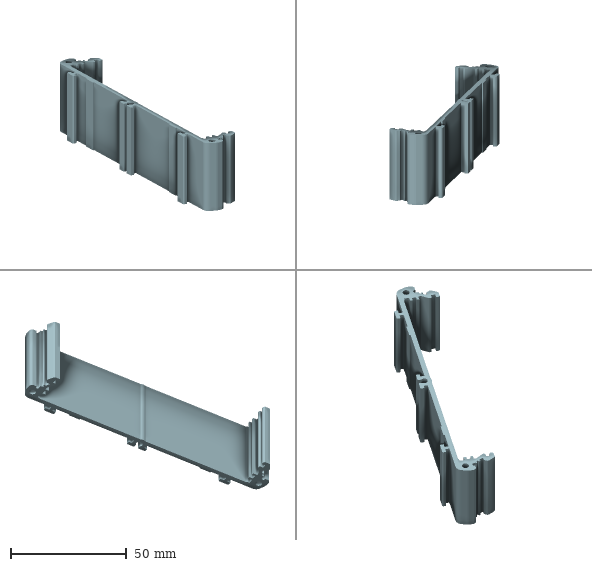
import cadquery as cq
import math

LENGTH = 31.25
WIDTH = 122.6
HALF_WIDTH = WIDTH / 2
INNER_HEIGHT = 18.0
RAIL_DEPTH = 3.5
WALL = 2.2

CORNER_RADIUS = 3.0
CORNER_START = 3.9
CORNER_LEAN = math.radians(20)
SIDE_FOOT = 5.2
LEAN_TOP_INSET = 0.12
LEAN_TOP_Y = 4.4
LOBE_TOP = 8.5
LOBE_BEVEL_WIDTH = 0.8
LOBE_BEVEL_HEIGHT = 1.25
LOBE_WIDTH = 2.75
NOTCH_CORNER_Y = 7.95
NOTCH_BOTTOM_INSET = 3.5
NOTCH_BOTTOM_Y = 7.4
NOTCH_END = 4.25
COLUMN_SHOULDER_Y = 8.7
COLUMN_SHOULDER_END = 5.45
COLUMN_FACE = 7.15
COLUMN_TOP = 10.1
SCREW_DIAMETER = 3.0
SCREW_X = 3.45
SCREW_Y = 4.3
STEP_WIDTH = 1.3
STEP_HEIGHT = 0.35

RIB_TIP = 9.05
RIB_THICKNESS = 1.1
SLOT_WIDTH = 1.85
SLOT_FLOOR = 7.5
RIB_BOTTOM = 4.8
RIB_LEAD = 0.4
HOOK_SLOT_BOTTOM = 14.4
HOOK_TIP = 9.35
HOOK_CHAMFER = 0.4

ARM_FOOT_Y = 9.6
ARM_FOOT_INSET = 5.25
ARM_TOP_INSET = 6.8
ARM_TOP_Y = 12.6
ARM_INNER_TOP_Y = 13.25
THROAT_INSET = 6.6
HEAD_UNDERSIDE_Y = 12.9
HEAD_CORNER_INSET = 5.3
CHEEK_BOTTOM = (4.8, 13.9)
CHEEK_MIDDLE = (4.45, 14.5)
CHEEK_TOP = (4.6, 15.1)
HEAD_SHOULDER = (5.8, 17.3)
HEAD_TOP_INSET = 6.4

LOWER_TOOTH = [(4.6, 8.8), (4.2, 9.2), (4.2, 9.6), (5.8, 9.6), (5.8, 8.8)]
UPPER_TOOTH = [(5.4, 10.4), (4.85, 10.75), (5.2, 11.3), (5.6, 11.1), (6.2, 11.1), (6.2, 10.4)]

RAIL_X = 44.65
RAIL_STEM = 1.5
RAIL_HEAD = 5.15
RAIL_HEAD_THICKNESS = 1.7
RAIL_CHAMFER = 0.4
RAIL_FILLET = 0.3
PAD_X = 33.4
PAD_WIDTH = 5.6
PAD_HEIGHT = 0.55

PORT_STEM = 6.3
PORT_HEAD = 9.2
PORT_SLOT = 2.1
PORT_Y = -0.8
PORT_CROWN_RADIUS = 3.3


def end_x(inset):
    """X of a point measured inward from the left end."""
    return inset - HALF_WIDTH


def end_point(point):
    """(X, Y) of a point given by its inset from the left end and its Y."""
    inset, y = point
    return end_x(inset), y


def slab(x_min, x_max, y_min, y_max):
    """Full-length rectangular bar."""
    size = (x_max - x_min, y_max - y_min, LENGTH)
    return cq.Workplane("XY").box(*size, centered=False).translate((x_min, y_min, 0))


def prism(points):
    """Full-length bar with a polygonal section at the left end."""
    outline = [end_point(point) for point in points]
    return cq.Workplane("XY").polyline(outline).close().extrude(LENGTH)


def rod(x, y, diameter):
    return cq.Workplane("XY").center(x, y).circle(diameter / 2).extrude(LENGTH)


def corner_point(angle):
    """Point of the corner arc, at an angle below the horizontal through its centre."""
    inset = CORNER_START - CORNER_RADIUS * math.cos(angle)
    y = CORNER_RADIUS - CORNER_RADIUS * math.sin(angle)
    return end_x(inset), y


def corner_body():
    """Rounded corner with its lobe, the notch behind the lobe and the column."""
    arc_middle_angle = (CORNER_LEAN + math.pi / 2) / 2
    step_end = COLUMN_FACE + STEP_WIDTH
    return (
        cq.Workplane("XY")
        .moveTo(end_x(step_end), 0)
        .lineTo(end_x(CORNER_START), 0)
        .threePointArc(corner_point(arc_middle_angle), corner_point(CORNER_LEAN))
        .lineTo(end_x(LEAN_TOP_INSET), LEAN_TOP_Y)
        .lineTo(end_x(0), SIDE_FOOT)
        .lineTo(end_x(0), LOBE_TOP - LOBE_BEVEL_HEIGHT)
        .lineTo(end_x(LOBE_BEVEL_WIDTH), LOBE_TOP)
        .lineTo(end_x(LOBE_WIDTH), LOBE_TOP)
        .lineTo(end_x(LOBE_WIDTH), NOTCH_CORNER_Y)
        .threePointArc(
            (end_x(NOTCH_BOTTOM_INSET), NOTCH_BOTTOM_Y),
            (end_x(NOTCH_END), NOTCH_CORNER_Y),
        )
        .lineTo(end_x(NOTCH_END), COLUMN_SHOULDER_Y)
        .lineTo(end_x(COLUMN_SHOULDER_END), COLUMN_TOP)
        .lineTo(end_x(COLUMN_FACE), COLUMN_TOP)
        .lineTo(end_x(COLUMN_FACE), WALL + STEP_HEIGHT)
        .lineTo(end_x(step_end - STEP_HEIGHT), WALL + STEP_HEIGHT)
        .lineTo(end_x(step_end), WALL)
        .close()
        .extrude(LENGTH)
        .cut(rod(end_x(SCREW_X), SCREW_Y, SCREW_DIAMETER))
    )


def board_ribs():
    """Pair of ribs with a board slot between them."""
    rib_top = RIB_BOTTOM + 2 * RIB_THICKNESS + SLOT_WIDTH
    block = prism([
        (COLUMN_FACE, RIB_BOTTOM - RIB_LEAD),
        (COLUMN_FACE + RIB_LEAD, RIB_BOTTOM),
        (RIB_TIP, RIB_BOTTOM),
        (RIB_TIP, rib_top),
        (COLUMN_FACE, rib_top),
    ])
    return block.cut(board_slot(RIB_BOTTOM + RIB_THICKNESS))


def board_slot(bottom):
    return slab(end_x(SLOT_FLOOR), end_x(HOOK_TIP), bottom, bottom + SLOT_WIDTH)


def hook():
    """Leaning arm and hooked head, with the upper board slot cut into it."""
    outline = (
        cq.Workplane("XY")
        .moveTo(end_x(ARM_FOOT_INSET), ARM_FOOT_Y)
        .lineTo(end_x(ARM_TOP_INSET), ARM_TOP_Y)
        .lineTo(end_x(THROAT_INSET), HEAD_UNDERSIDE_Y)
        .lineTo(end_x(HEAD_CORNER_INSET), HEAD_UNDERSIDE_Y)
        .lineTo(*end_point(CHEEK_BOTTOM))
        .threePointArc(end_point(CHEEK_MIDDLE), end_point(CHEEK_TOP))
        .lineTo(*end_point(HEAD_SHOULDER))
        .lineTo(end_x(HEAD_TOP_INSET), INNER_HEIGHT)
        .lineTo(end_x(HOOK_TIP - HOOK_CHAMFER), INNER_HEIGHT)
        .lineTo(end_x(HOOK_TIP), INNER_HEIGHT - 2 * HOOK_CHAMFER)
        .lineTo(end_x(HOOK_TIP), HOOK_SLOT_BOTTOM)
        .lineTo(end_x(HOOK_TIP - HOOK_CHAMFER), HOOK_SLOT_BOTTOM)
        .lineTo(end_x(HOOK_TIP), HOOK_SLOT_BOTTOM - HOOK_CHAMFER)
        .lineTo(end_x(HOOK_TIP), ARM_INNER_TOP_Y)
        .lineTo(end_x(COLUMN_FACE), COLUMN_TOP)
        .lineTo(end_x(COLUMN_FACE), ARM_FOOT_Y)
        .close()
        .extrude(LENGTH)
    )
    return outline.cut(board_slot(HOOK_SLOT_BOTTOM))


def t_rail(x, stem, head):
    """T-section rail on the outer wall face."""
    neck = slab(x - stem / 2, x + stem / 2, -RAIL_DEPTH, 0)
    cap = slab(x - head / 2, x + head / 2, -RAIL_DEPTH, -RAIL_DEPTH + RAIL_HEAD_THICKNESS)
    return neck.union(cap)


def side_rail():
    """T-rail with the outer edges of its head chamfered."""
    rail = t_rail(-RAIL_X, RAIL_STEM, RAIL_HEAD)
    return rail.faces("<Y").edges("|Z").chamfer(RAIL_CHAMFER)


def round_stem_corners(profile):
    """Fillet the inside corners where the rail stem meets the wall and the rail head."""
    reach = RAIL_STEM / 2 + RAIL_FILLET
    low = (-RAIL_X - reach, -RAIL_DEPTH + RAIL_HEAD_THICKNESS - RAIL_FILLET, 0)
    high = (-RAIL_X + reach, RAIL_FILLET, LENGTH)
    corners = cq.selectors.BoxSelector(low, high)
    return profile.edges("|Z").edges(corners).fillet(RAIL_FILLET)


def raised_pad():
    return slab(-PAD_X - PAD_WIDTH / 2, -PAD_X + PAD_WIDTH / 2, -PAD_HEIGHT, 0)


def mirrored(half):
    return half.union(half.mirror("YZ"))


def screw_port():
    """Central rail with a crown that thickens the wall over the screw channel."""
    crown = rod(0, PORT_Y, 2 * PORT_CROWN_RADIUS)
    crown = crown.intersect(slab(-PORT_STEM / 2, PORT_STEM / 2, 0, INNER_HEIGHT))
    return crown.union(t_rail(0, PORT_STEM, PORT_HEAD))


def screw_channel():
    """Round channel opening through the central rail by a narrower slot."""
    slot = slab(-PORT_SLOT / 2, PORT_SLOT / 2, -RAIL_DEPTH, PORT_Y)
    return rod(0, PORT_Y, SCREW_DIAMETER).union(slot)


def build():
    half_profile = (
        corner_body()
        .union(board_ribs())
        .union(hook())
        .union(prism(LOWER_TOOTH))
        .union(prism(UPPER_TOOTH))
        .union(slab(end_x(COLUMN_FACE), 0, 0, WALL))
        .union(side_rail())
        .union(raised_pad())
    )
    half_profile = round_stem_corners(half_profile)
    return mirrored(half_profile).union(screw_port()).cut(screw_channel())


result = build()